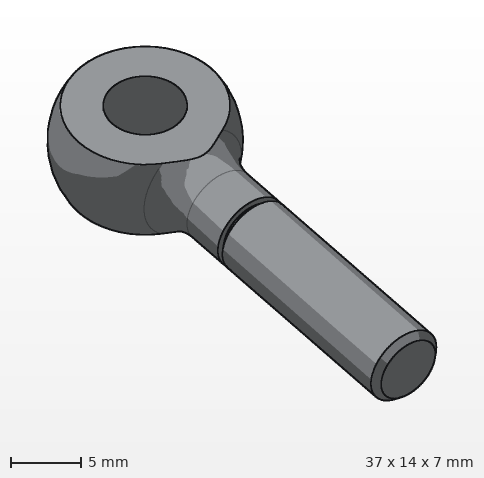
import cadquery as cq
import math

total_length = 37.0
ball_radius = 7.0
eye_thickness = 7.0
hole_diameter = 6.0
shank_radius = 3.0
blend_radius = 4.0
end_chamfer = 0.5
thread_length = 17.45
groove_depth = 0.5

blend_center_y = shank_radius + blend_radius
center_distance = ball_radius + blend_radius
blend_end_x = math.sqrt(center_distance**2 - blend_center_y**2)
ball_share = ball_radius / center_distance
blend_start = (blend_end_x * ball_share, blend_center_y * ball_share)

blend_mid_angle = math.asin(blend_end_x / center_distance) / 2
blend_mid = (
    blend_end_x - blend_radius * math.sin(blend_mid_angle),
    blend_center_y - blend_radius * math.cos(blend_mid_angle),
)

tip_x = total_length - ball_radius
thread_start_x = tip_x - thread_length
groove_wall_x = thread_start_x - groove_depth


def make_turned_body():
    """Revolve the ball, blend, neck, groove and shank about the X axis."""
    profile = (
        cq.Workplane("XY")
        .moveTo(-ball_radius, 0)
        .threePointArc((0, ball_radius), blend_start)
        .threePointArc(blend_mid, (blend_end_x, shank_radius))
        .lineTo(groove_wall_x, shank_radius)
        .lineTo(groove_wall_x, shank_radius - groove_depth)
        .lineTo(thread_start_x, shank_radius)
        .lineTo(tip_x - end_chamfer, shank_radius)
        .lineTo(tip_x, shank_radius - end_chamfer)
        .lineTo(tip_x, 0)
        .close()
    )
    return profile.revolve(360, (0, 0, 0), (1, 0, 0))


def flatten_eye(body):
    """Keep only the slab between the two flat faces of the eye."""
    slab = cq.Workplane("XY").box(2 * total_length, 2 * total_length, eye_thickness)
    return body.intersect(slab)


def drill_eye(body):
    """Cut the hole through the eye along Z."""
    return body.faces(">Z").workplane(origin=(0, 0, 0)).hole(hole_diameter)


result = drill_eye(flatten_eye(make_turned_body()))